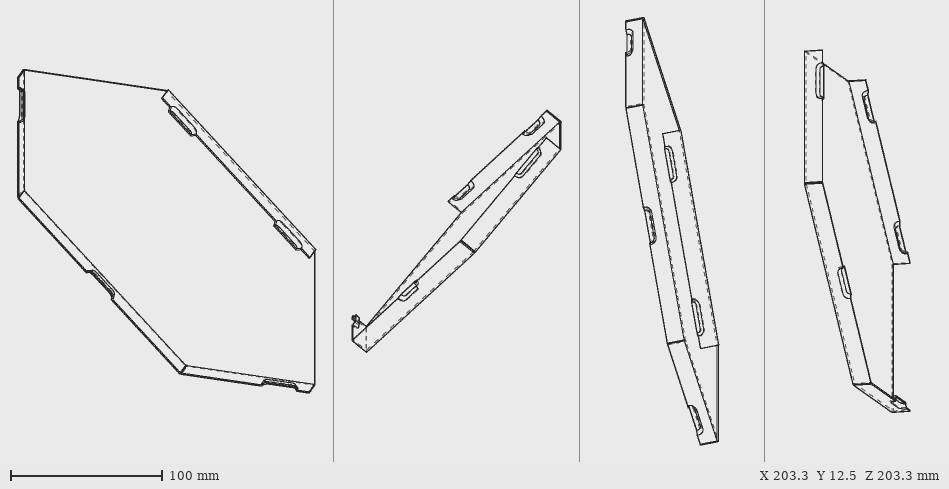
import cadquery as cq
import math

side = 203.3
height = 12.5
sheet = 1.0

tip_overhang = sheet * math.sin(math.radians(45))
plate_low = sheet
plate_high = side - tip_overhang
upper_cut_start = 100.0
lower_cut_end = 113.2
corner_gap = 0.5

mouth_length = 24.4
mouth_height = 4.3
mouth_radius = 4.0
dent_depth = 3.0
dent_taper = 30
end_to_dent = 20.7

top_left = (plate_low, plate_high)
top_cut = (upper_cut_start, plate_high)
right_cut = (plate_high, upper_cut_start)
bottom_right = (plate_high, plate_low)
bottom_cut = (lower_cut_end, plate_low)
left_cut = (plate_low, lower_cut_end)

envelope = cq.Workplane("XY").box(side, height, side, centered=False)


def wall_plane(start, end):
    """Plane on the outer face of a wall: x runs along the edge, y along +Y, z points inward."""
    length = math.dist(start, end)
    along = ((end[0] - start[0]) / length, (end[1] - start[1]) / length)
    inward = (-along[1], along[0])
    origin = (start[0] - sheet * inward[0], 0, start[1] - sheet * inward[1])
    return cq.Plane(origin=origin, xDir=(along[0], 0, along[1]), normal=(inward[0], 0, inward[1]))


def dent_body(plane, center, growth, depth):
    """Tapered, round-cornered pad centred on the free edge; growth enlarges its base all round."""
    return (
        cq.Workplane(plane)
        .center(center, 0)
        .sketch()
        .rect(mouth_length + 2 * growth, 2 * (mouth_height + growth))
        .vertices()
        .fillet(mouth_radius + growth)
        .finalize()
        .extrude(depth, taper=dent_taper)
    )


def add_wall(body, start, end, dent_centers, start_gap=0, end_gap=0):
    """Add a wall outside the plate edge running counterclockwise (seen from -Y), and press in its dents."""
    plane = wall_plane(start, end)
    length = math.dist(start, end)
    wall = (
        cq.Workplane(plane)
        .center(start_gap, 0)
        .rect(length - start_gap - end_gap, height, centered=False)
        .extrude(sheet)
    )
    body = body.union(wall)
    shell_growth = sheet / math.cos(math.radians(dent_taper))
    for center in dent_centers:
        shell = dent_body(plane, center, shell_growth, dent_depth + sheet)
        body = body.union(shell.intersect(envelope))
        body = body.cut(dent_body(plane, center, 0, dent_depth))
    return body


plate_corners = [top_left, top_cut, right_cut, bottom_right, bottom_cut, left_cut]
plate = (
    cq.Workplane("XZ", origin=(0, height, 0))
    .polyline(plate_corners)
    .close()
    .extrude(sheet)
)

upper_length = math.dist(right_cut, top_cut)
lower_length = math.dist(left_cut, bottom_cut)
bottom_length = math.dist(bottom_cut, bottom_right)

result = add_wall(plate, right_cut, top_cut, [end_to_dent, upper_length - end_to_dent])
result = add_wall(result, left_cut, bottom_cut, [lower_length / 2])
result = add_wall(result, top_left, left_cut, [end_to_dent], end_gap=corner_gap)
result = add_wall(result, bottom_cut, bottom_right, [bottom_length - end_to_dent], start_gap=corner_gap)